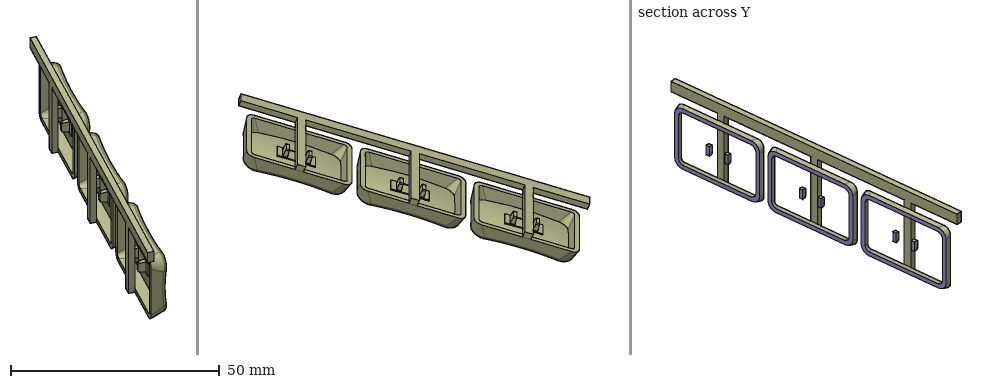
import cadquery as cq
rail_length = 88.8
rail_height = 3.0
frame_thickness = 1.6
frame_height = 22.9
rib_width = 2.1

cap_count = 3
cap_pitch = 29.0
cap_width = 26.8
cap_height = 17.9
rim_corner_radius = 1.95
crown_corner_radius = 5.15
side_draft = 0.6
crown_level = 6.7
crown_rounding = 1.1

dish_level = 3.1
dish_radius_x = 88.8
dish_radius_z = 40.9
roof_thickness = 0.9

rim_wall = 1.2
cavity_corner_radius = 0.9
floor_corner_radius = 2.7
cavity_draft = 0.6
cavity_level = 4.0

seat_width = 9.8
seat_height = 3.8
seat_thickness = 0.2
wing_span = 15.1
wing_height = 4.3
wing_corner_radius = 0.4
wing_depth = 0.4
leg_width = 1.2
leg_height = 3.0
leg_spacing = 5.8
leg_length = 1.95
leg_taper = 6.0
leg_chamfer = 0.3

cap_center_z = cap_height / 2
floor_level = dish_level - roof_thickness


def plane_at(level):
    """Sketch plane facing -Y at height `level` behind the rim plane, centred on a cap."""
    return cq.Workplane("XZ", origin=(0, level, cap_center_z))


def rounded_rectangle(width, height, radius):
    return cq.Sketch().rect(width, height).vertices().fillet(radius)


def tapered_block(width, height, rim_radius, far_radius, draft, depth):
    """Block from the rim plane to `depth`, leaning inward and rounding more at the far end."""
    rim = rounded_rectangle(width, height, rim_radius)
    far = rounded_rectangle(width - 2 * draft, height - 2 * draft, far_radius)
    far_in_place = far.moved(cq.Location(cq.Vector(0, 0, -depth)))
    return plane_at(0).placeSketch(rim, far_in_place).loft(ruled=True)


def barrel(level, radius_x, radius_z):
    """Barrel around a Z axis whose nearest side is at `level` over the cap centre.

    The profile is drawn on the far side of the axis, so the seam of the surface stays clear of the cap.
    """
    half_span = cap_height
    bulge = radius_z - (radius_z**2 - half_span**2) ** 0.5
    profile = (
        cq.Workplane("YZ", origin=(0, level + radius_x, cap_center_z))
        .moveTo(0, -half_span)
        .lineTo(radius_x - bulge, -half_span)
        .threePointArc((radius_x, 0), (radius_x - bulge, half_span))
        .lineTo(0, half_span)
        .close()
    )
    return profile.revolve(360, (0, -half_span), (0, half_span))


def cap_body():
    blank = tapered_block(
        cap_width, cap_height, rim_corner_radius, crown_corner_radius, side_draft, crown_level
    )
    dished = blank.cut(barrel(dish_level, dish_radius_x, dish_radius_z))
    return dished.faces("%TORUS").edges().fillet(crown_rounding)


def wing_pocket():
    """Flat-bottomed recess that starts inside the cavity and sinks into its curved floor."""
    outline = rounded_rectangle(wing_span, wing_height, wing_corner_radius)
    return plane_at(floor_level + wing_depth).placeSketch(outline).extrude(wing_depth + floor_level / 2)


def cap_cavity():
    blank = tapered_block(
        cap_width - 2 * rim_wall,
        cap_height - 2 * rim_wall,
        cavity_corner_radius,
        floor_corner_radius,
        cavity_draft,
        cavity_level,
    )
    cavity = blank.cut(
        barrel(floor_level, dish_radius_x + roof_thickness, dish_radius_z + roof_thickness)
    )
    return cavity.union(wing_pocket())


def switch_seat():
    """Raised pad with two legs, rooted half-way into the roof left behind the wing pocket."""
    seat_top = floor_level - seat_thickness
    seat_root = (floor_level + wing_depth + dish_level) / 2
    seat = plane_at(seat_top).rect(seat_width, seat_height).extrude(seat_top - seat_root)
    legs = (
        plane_at(seat_top)
        .pushPoints([(-leg_spacing / 2, 0), (leg_spacing / 2, 0)])
        .rect(leg_width, leg_height)
        .extrude(leg_length, taper=leg_taper)
        .faces("<Y")
        .edges("|X")
        .chamfer(leg_chamfer)
    )
    return seat.union(legs)


def keycap():
    """Shell whose hollow leaves the switch seat standing."""
    hollow = cap_cavity().cut(switch_seat())
    return cap_body().cut(hollow)


def frame_bar(width, height, center_x, bottom):
    bar = cq.Workplane("XY").box(width, frame_thickness, height, centered=(True, False, False))
    return bar.translate((center_x, -frame_thickness, bottom))


result = frame_bar(rail_length, rail_height, 0, frame_height - rail_height)
cap = keycap()
for index in range(cap_count):
    center_x = (index - (cap_count - 1) / 2) * cap_pitch
    result = result.union(frame_bar(rib_width, frame_height, center_x, 0))
    result = result.union(cap.translate((center_x, 0, 0)))